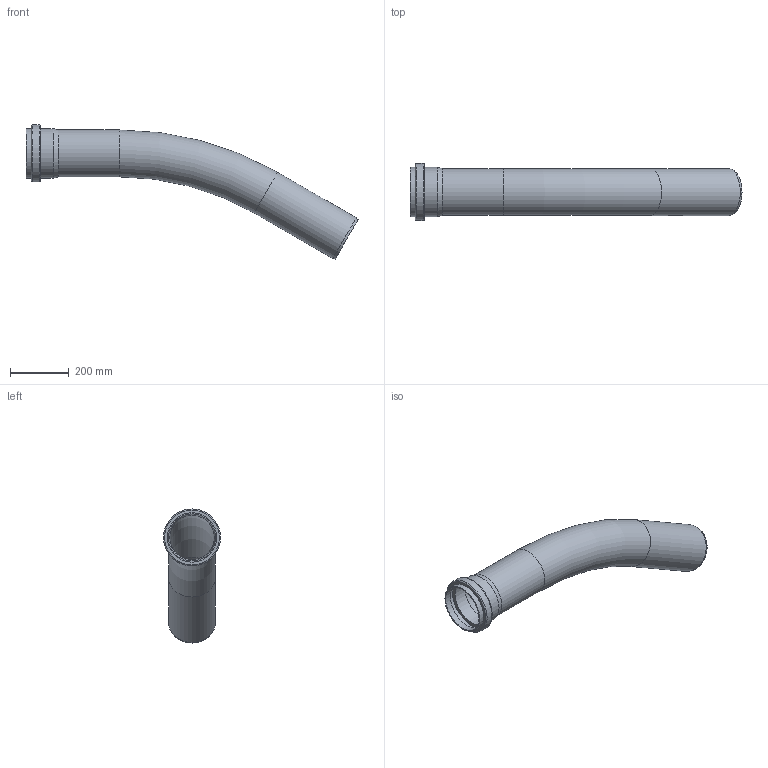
import cadquery as cq
import math

wall = 4.0
pipe_radius = 160.0 / 2
bend_radius = 1000.0
bend_angle = 30.0
leg_length = 318.0

socket_bore_radius = 160.5 / 2
socket_radius = socket_bore_radius + wall
socket_length = 92.5
taper_length = 17.5
bead_radius = 194.5 / 2
bead_start = 18.0
bead_width = 31.0
bead_rounding = 4.0

chamfer_length = 8.0
chamfer_angle = 15.0

bore_radius = pipe_radius - wall
bead_end = bead_start + bead_width
groove_radius = bead_radius - wall
taper_end = socket_length + taper_length
chamfer_depth = chamfer_length * math.tan(math.radians(chamfer_angle))


def revolve_about_x(profile):
    """Close an (axial position, radius) outline and turn it into a body around the X axis."""
    return profile.close().revolve(360, (0, 0, 0), (1, 0, 0))


def make_socket_and_inlet():
    """Socket, seal bead, taper and straight inlet; the mouth is at X = 0."""
    outside = (
        cq.Workplane("XZ")
        .lineTo(0, socket_radius)
        .lineTo(bead_start, socket_radius)
        .lineTo(bead_start, bead_radius - bead_rounding)
        .radiusArc((bead_start + bead_rounding, bead_radius), bead_rounding)
        .lineTo(bead_end - bead_rounding, bead_radius)
        .radiusArc((bead_end, bead_radius - bead_rounding), bead_rounding)
        .lineTo(bead_end, socket_radius)
        .lineTo(socket_length, socket_radius)
        .lineTo(taper_end, pipe_radius)
        .lineTo(leg_length, pipe_radius)
        .lineTo(leg_length, 0)
    )
    inside = (
        cq.Workplane("XZ")
        .lineTo(0, socket_bore_radius)
        .lineTo(bead_start + wall, socket_bore_radius)
        .lineTo(bead_start + wall, groove_radius)
        .lineTo(bead_end - wall, groove_radius)
        .lineTo(bead_end - wall, socket_bore_radius)
        .lineTo(socket_length, socket_bore_radius)
        .lineTo(taper_end, bore_radius)
        .lineTo(leg_length, bore_radius)
        .lineTo(leg_length, 0)
    )
    return revolve_about_x(outside).cut(revolve_about_x(inside))


def make_bend():
    """Curved pipe that turns downward from the end of the inlet."""
    return (
        cq.Workplane("YZ", origin=(leg_length, 0, 0))
        .circle(pipe_radius)
        .circle(bore_radius)
        .revolve(bend_angle, (0, -bend_radius, 0), (1, -bend_radius, 0))
    )


def make_outlet():
    """Straight spigot, built along X and then turned about the bend centre."""
    straight = revolve_about_x(
        cq.Workplane("XZ")
        .moveTo(0, bore_radius)
        .lineTo(0, pipe_radius)
        .lineTo(leg_length - chamfer_length, pipe_radius)
        .lineTo(leg_length, pipe_radius - chamfer_depth)
        .lineTo(leg_length, bore_radius)
    )
    return straight.translate((leg_length, 0, 0)).rotate(
        (leg_length, 0, -bend_radius),
        (leg_length, 1, -bend_radius),
        bend_angle,
    )


result = make_socket_and_inlet().union(make_bend()).union(make_outlet())